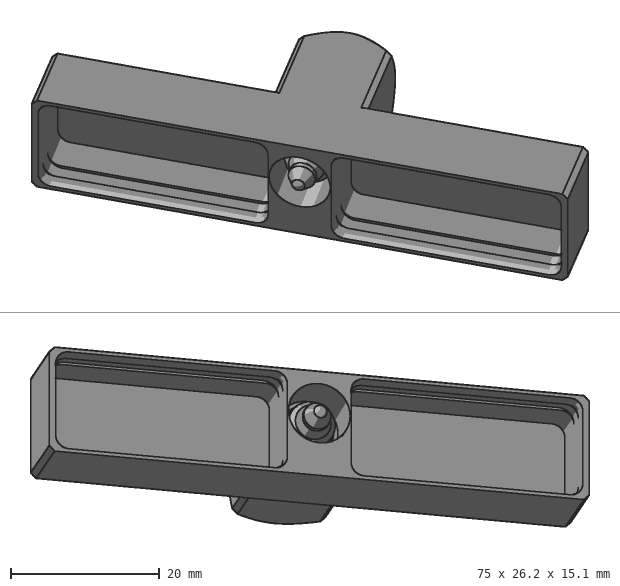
import cadquery as cq
import math


bar_length = 74.95
bar_depth = 10.35
bar_height = 15.1
bar_top = 6.1
edge_chamfer = 0.75

stem_width = 13.0
stem_height = 12.6
stem_end = 25.2
stem_end_radius = 6.0
crown_length = 6.0

end_wall = 0.9
long_wall = 0.5
web_width = 8.85
pocket_depth = 9.45
pocket_radius = 1.8
mouth_taper = 0.15
mouth_depth = 0.9
mouth_radius = 1.8
groove_start = 2.0
groove_end = 4.35
groove_cut = 0.4
groove_radius = 2.2

bore_radius = 4.3
bore_depth = 6.75
inner_bore_radius = 3.7
inner_bore_depth = 7.5
base_radius = 3.2
base_y = 4.1
shoulder_radius = 2.5
shoulder_y = 3.4
neck_radius = 1.9
neck_start = 1.05
neck_end = 1.8
nose_radius = 0.9
nose_y = -0.7
tip_y = -1.05

bar_middle_z = bar_top - bar_height / 2
stem_middle_z = bar_top - stem_height / 2


def plate(width, height, center_x, center_z, start_y, end_y):
    """Rectangular block whose section is centred at (center_x, center_z)."""
    return (
        cq.Workplane("XZ", origin=(center_x, start_y, center_z))
        .rect(width, height)
        .extrude(start_y - end_y)
    )


def turned(points):
    """Solid of revolution about the Y axis from (radius, y) points."""
    return cq.Workplane("XY").polyline(points).close().revolve(360, (0, 0, 0), (0, 1, 0))


def make_bar():
    bar = plate(bar_length, bar_height, 0, bar_middle_z, 0, bar_depth)
    return bar.edges("|Y").chamfer(edge_chamfer)


def make_stem():
    stem = plate(stem_width, stem_height, 0, stem_middle_z, 0, stem_end)
    stem = stem.edges("|Y").chamfer(edge_chamfer)
    crown_radius = stem_end_radius + crown_length
    crown = turned([
        (0, 0),
        (crown_radius, 0),
        (crown_radius, stem_end - crown_length),
        (stem_end_radius, stem_end),
        (0, stem_end),
    ])
    return stem.intersect(crown)


def make_pocket(side):
    mouth_width = (bar_length - web_width) / 2 - end_wall
    mouth_height = bar_height - 2 * long_wall
    center_x = side * (web_width + mouth_width) / 2
    width = mouth_width - 2 * mouth_taper
    height = mouth_height - 2 * mouth_taper

    cavity = plate(width, height, center_x, bar_middle_z, 0, pocket_depth)
    cavity = cavity.edges("|Y").fillet(pocket_radius)

    mouth_outline = cq.Sketch().rect(mouth_width, mouth_height).vertices().fillet(mouth_radius)
    throat_outline = cq.Sketch().rect(width, height).vertices().fillet(pocket_radius)
    throat_place = cq.Location(cq.Vector(0, 0, -mouth_depth))
    mouth = (
        cq.Workplane("XZ", origin=(center_x, 0, bar_middle_z))
        .placeSketch(mouth_outline, throat_outline.moved(throat_place))
        .loft()
    )

    groove = plate(width, height + 2 * groove_cut, center_x, bar_middle_z, groove_start, groove_end)
    groove = groove.edges("|Y").fillet(groove_radius)
    return cavity.union(mouth).union(groove)


def make_bore():
    return turned([
        (0, 0),
        (bore_radius, 0),
        (bore_radius, bore_depth),
        (inner_bore_radius, bore_depth),
        (inner_bore_radius, inner_bore_depth),
        (0, inner_bore_depth),
    ])


def make_plunger():
    nose_rise = nose_y - tip_y
    dome_radius = (nose_radius**2 + nose_rise**2) / (2 * nose_rise)
    nose_mid_radius = nose_radius / 2
    nose_mid_y = tip_y + dome_radius - math.sqrt(dome_radius**2 - nose_mid_radius**2)
    profile = (
        cq.Workplane("XY")
        .moveTo(0, inner_bore_depth)
        .lineTo(base_radius, inner_bore_depth)
        .lineTo(base_radius, base_y)
        .lineTo(shoulder_radius, shoulder_y)
        .lineTo(neck_radius, neck_end)
        .lineTo(neck_radius, neck_start)
        .lineTo(nose_radius, nose_y)
        .threePointArc((nose_mid_radius, nose_mid_y), (0, tip_y))
        .close()
    )
    return profile.revolve(360, (0, 0, 0), (0, 1, 0))


result = make_bar().union(make_stem())
for side in (-1, 1):
    result = result.cut(make_pocket(side))
result = result.cut(make_bore()).union(make_plunger())